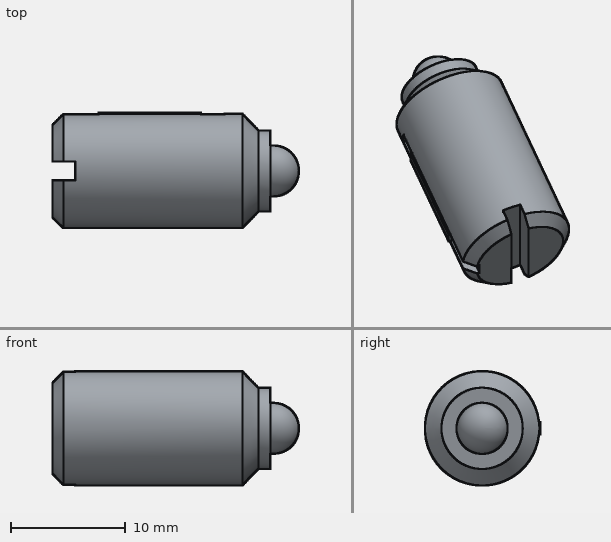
import cadquery as cq

total_length = 21.5
body_radius = 10.0 / 2
collar_radius = 7.1 / 2
pin_radius = 4.47 / 2

rear_chamfer_length = 0.95
rear_chamfer_depth = 0.95
body_end = 16.55
nose_cone_end = 17.95
collar_end = 19.0
ball_center = total_length - pin_radius

slot_width = 1.61
slot_depth = 1.98

groove_end = 14.99
groove_width = 1.12
groove_floor = 3.78
insert_start = 4.0
insert_end = 12.96
insert_top = body_radius + 0.1


def make_plunger():
    """Body, nose cone, collar and round-ended pin as one turned profile."""
    ball_mid = pin_radius * 0.5**0.5
    return (
        cq.Workplane("XY")
        .moveTo(0, 0)
        .lineTo(0, body_radius - rear_chamfer_depth)
        .lineTo(rear_chamfer_length, body_radius)
        .lineTo(body_end, body_radius)
        .lineTo(nose_cone_end, collar_radius)
        .lineTo(collar_end, collar_radius)
        .lineTo(collar_end, pin_radius)
        .lineTo(ball_center, pin_radius)
        .threePointArc((ball_center + ball_mid, ball_mid), (total_length, 0))
        .close()
        .revolve(360, (0, 0, 0), (1, 0, 0))
    )


def make_slot():
    """Slot open at the rear face, running right through along Z."""
    return cq.Workplane("XY").box(
        slot_depth, slot_width, 2 * body_radius, centered=(False, True, True)
    )


def make_side_strip(start, end, top):
    """Strip of groove width from the groove floor up to the given Y height."""
    return (
        cq.Workplane("XY")
        .box(end - start, top - groove_floor, groove_width, centered=(False, False, True))
        .translate((start, groove_floor, 0))
    )


groove = make_side_strip(0, groove_end, insert_top)
insert = make_side_strip(insert_start, insert_end, insert_top)

result = make_plunger().cut(make_slot()).cut(groove).union(insert)